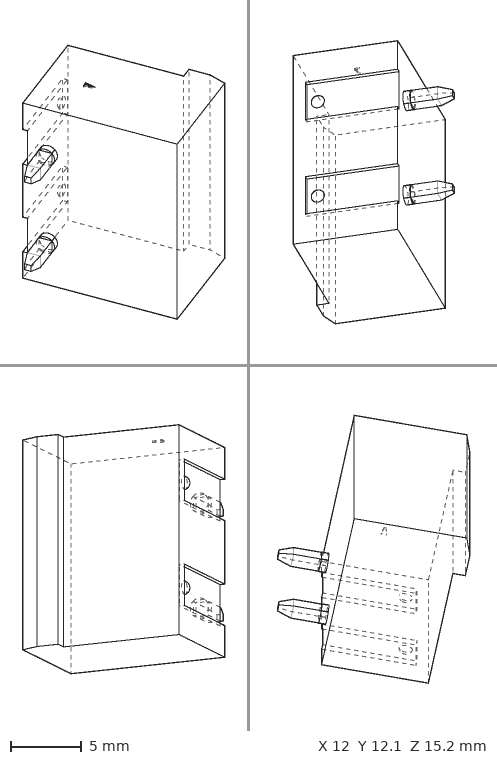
import cadquery as cq

height = 15.24
length = 12.0
depth = 7.7

ledge_rise = 0.9
ledge_length = 3.0
ledge_flat = 1.65
slope_drop = 0.49

pitch = 7.62
contact_levels = (-pitch / 2, pitch / 2)

pin_x = 2.0
collar_diameter = 1.4
collar_length = 0.5
pin_width = 1.0
pin_tip_width = 0.5
pin_reach = 3.5
taper_length = 1.0

recess_depth = 0.37
recess_width = 3.0
recess_length = 6.8
stud_y = 5.99
stud_radius = 0.5

mark_x = 3.03
mark_y = 3.89
mark_length = 0.8
mark_width = 0.4
mark_depth = 0.1


def housing():
    """Prism with the ledge profile, running the full height."""
    ledge_start = length - ledge_length
    back = depth + ledge_rise
    profile = [
        (0, 0),
        (length, 0),
        (length, back - slope_drop),
        (ledge_start + ledge_flat, back),
        (ledge_start, back),
        (ledge_start, depth),
        (0, depth),
    ]
    return cq.Workplane("XY").polyline(profile).close().extrude(height / 2, both=True)


def recess(level):
    """Shallow pocket cut into the -X side."""
    return (
        cq.Workplane("XY")
        .box(recess_depth, recess_length, recess_width, centered=(False, False, True))
        .translate((0, 0, level))
    )


def stud(level):
    """Ball partly sunk in the recess floor, its crown flush with the -X side."""
    return cq.Workplane("XY").sphere(stud_radius).translate((stud_radius, stud_y, level))


def pin(level):
    """Round collar, square shank and tapered tip pointing toward -Y."""
    face = cq.Workplane("XZ", origin=(pin_x, 0, level))
    shank_length = pin_reach - taper_length
    collar = face.circle(collar_diameter / 2).extrude(collar_length)
    shank = face.rect(pin_width, pin_width).extrude(shank_length)
    tip = (
        face.workplane(offset=shank_length)
        .rect(pin_width, pin_width)
        .workplane(offset=taper_length)
        .rect(pin_tip_width, pin_tip_width)
        .loft(ruled=True)
    )
    return collar.union(shank).union(tip)


def triangle_mark():
    """Arrowhead pointing toward +X, sunk into the top face."""
    corners = [
        (mark_x, mark_y - mark_width / 2),
        (mark_x + mark_length, mark_y),
        (mark_x, mark_y + mark_width / 2),
    ]
    top_face = cq.Workplane("XY", origin=(0, 0, height / 2))
    return top_face.polyline(corners).close().extrude(-mark_depth)


result = housing().cut(triangle_mark())
for contact_level in contact_levels:
    result = result.cut(recess(contact_level))
    result = result.union(stud(contact_level))
    result = result.union(pin(contact_level))